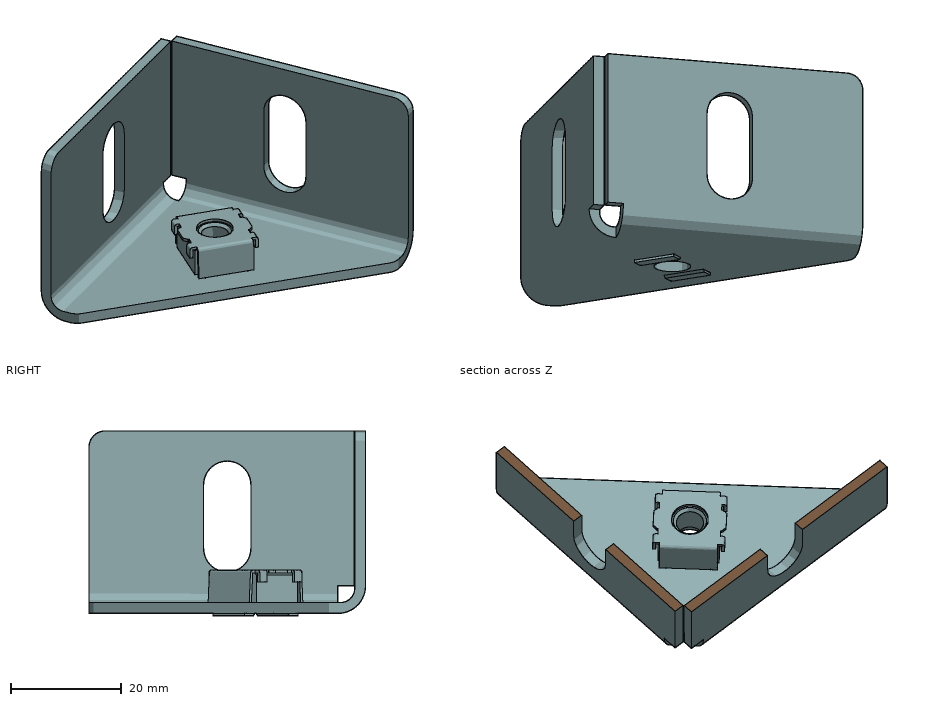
import cadquery as cq
import math

side = 50.0
wall_height = 33.0
sheet = 2.0
bend_inner_radius = 2.5
bend_outer_radius = 5.0
corner_gap = 0.1
relief = bend_outer_radius
corner_radius = 3.0
base_end = 7.0
slot_width = 8.5
slot_length = 20.0
slot_center_height = 17.5

nut_x = 19.9
nut_y = side - nut_x
nut_angle = 45.0
nut_top = 7.85
bore_radius = 2.45
countersink_radius = 3.0
opening_radius = 3.3

cage_sheet = 0.55
cage_half_length = 5.25
cage_half_top = 6.5
cage_half_foot = 6.85
cage_bend_radius = 0.65

block_half_length = 5.5
block_half_width = 5.25
block_chamfer = 0.35
block_top = nut_top - cage_sheet

roof_half_length = 5.65

tab_reach = 6.5
tab_inner = 3.5
tab_outer = 5.4
tab_bottom = 5.7
tab_bend_radius = 0.55

tongue_reach = 6.6
tongue_half_root = 2.35
tongue_half_tip = 1.55
tongue_root = 5.85

foot_half_length = 4.05
foot_thickness = 0.45
foot_tip = 4.2
foot_bevel = 0.4


def box(x_min, x_max, y_min, y_max, z_min, z_max):
    size = (x_max - x_min, y_max - y_min, z_max - z_min)
    return cq.Workplane("XY").box(*size, centered=False).translate((x_min, y_min, z_min))


def mirror_pair(shape, plane):
    return shape.union(shape.mirror(plane))


def place_nut(shape):
    return shape.rotate((0, 0, 0), (0, 0, 1), nut_angle).translate((nut_x, nut_y, 0))


def base_plate():
    outline = [
        (bend_outer_radius, 0),
        (base_end, 0),
        (side, side - base_end),
        (side, side - bend_outer_radius),
        (bend_outer_radius, side - bend_outer_radius),
    ]
    plate = cq.Workplane("XY").polyline(outline).close().extrude(sheet)
    half_sheet = sheet / 2
    near_end = cq.selectors.NearestToPointSelector((base_end, 0, half_sheet))
    far_end = cq.selectors.NearestToPointSelector((side, side - base_end, half_sheet))
    return plate.edges("|Z").edges(near_end + far_end).fillet(corner_radius)


def left_wall():
    bend_shift = math.sqrt(0.5)
    outer_mid = bend_outer_radius * (1 - bend_shift)
    inner_end = sheet + bend_inner_radius
    inner_mid = inner_end - bend_inner_radius * bend_shift
    wall = (
        cq.Workplane("XZ")
        .moveTo(0, wall_height)
        .lineTo(0, bend_outer_radius)
        .threePointArc((outer_mid, outer_mid), (bend_outer_radius, 0))
        .lineTo(bend_outer_radius, sheet)
        .lineTo(inner_end, sheet)
        .threePointArc((inner_mid, inner_mid), (sheet, inner_end))
        .lineTo(sheet, wall_height)
        .close()
        .extrude(-(side - sheet - corner_gap))
    )
    wall = wall.edges("|X and >Z and <Y").fillet(corner_radius)
    slot = (
        cq.Workplane("YZ")
        .center(side / 2, slot_center_height)
        .slot2D(slot_length, slot_width, 90)
        .extrude(sheet)
    )
    return wall.cut(slot)


def nut_openings():
    bolt_hole = cq.Workplane("XY").circle(opening_radius).extrude(sheet)
    foot_slot = box(
        -foot_half_length, foot_half_length,
        cage_half_foot - cage_sheet, cage_half_foot,
        0, sheet,
    )
    return place_nut(bolt_hole.union(mirror_pair(foot_slot, "XZ")))


def make_bracket():
    wall = left_wall()
    back_wall = wall.mirror((1, 1, 0), (side / 2, side / 2, 0))
    corner_relief = box(0, relief, side - relief, side, 0, relief)
    folded = base_plate().union(wall).union(back_wall)
    return folded.cut(corner_relief).cut(nut_openings())


def cage_shell():
    outer = [
        (-cage_half_foot, sheet),
        (-cage_half_top, nut_top),
        (cage_half_top, nut_top),
        (cage_half_foot, sheet),
    ]
    inner = [
        (-cage_half_foot + cage_sheet, sheet),
        (-cage_half_top + cage_sheet, block_top),
        (cage_half_top - cage_sheet, block_top),
        (cage_half_foot - cage_sheet, sheet),
    ]
    shell = cq.Workplane("YZ").polyline(outer).close().extrude(cage_half_length, both=True)
    shell = shell.edges("|X and >Z").fillet(cage_bend_radius)
    cavity = cq.Workplane("YZ").polyline(inner).close().extrude(cage_half_length, both=True)
    return shell.cut(cavity)


def end_tab():
    roof = box(0, tab_reach, tab_inner, tab_outer, block_top, nut_top)
    lip = box(tab_reach - cage_sheet, tab_reach, tab_inner, tab_outer, tab_bottom, nut_top)
    return roof.union(lip).edges("|Y and >X and >Z").fillet(tab_bend_radius)


def roof_strip():
    return box(
        -roof_half_length, roof_half_length,
        -tab_inner, tab_inner,
        block_top, nut_top,
    )


def roof_tongue():
    outline = [
        (0, -tongue_half_root),
        (tongue_root, -tongue_half_root),
        (tongue_reach, -tongue_half_tip),
        (tongue_reach, tongue_half_tip),
        (tongue_root, tongue_half_root),
        (0, tongue_half_root),
    ]
    return cq.Workplane("XY", origin=(0, 0, block_top)).polyline(outline).close().extrude(cage_sheet)


def threaded_block():
    block = box(
        -block_half_length, block_half_length,
        -block_half_width, block_half_width,
        sheet, block_top,
    )
    return block.faces(">Z").edges("|Y").chamfer(block_chamfer)


def hooked_foot():
    profile = [
        (cage_half_foot, sheet),
        (cage_half_foot, -foot_thickness),
        (foot_tip + foot_bevel, -foot_thickness),
        (foot_tip, 0),
        (cage_half_foot - cage_sheet, 0),
        (cage_half_foot - cage_sheet, sheet),
    ]
    return cq.Workplane("YZ").polyline(profile).close().extrude(foot_half_length, both=True)


def nut_bore():
    bore = cq.Workplane("XY").circle(bore_radius).extrude(nut_top)
    opening = cq.Workplane("XY", origin=(0, 0, block_top)).circle(opening_radius).extrude(cage_sheet)
    sink_depth = countersink_radius - bore_radius
    countersink = (
        cq.Workplane("XY", origin=(0, 0, block_top - sink_depth))
        .circle(bore_radius)
        .workplane(offset=sink_depth)
        .circle(countersink_radius)
        .loft()
    )
    return bore.union(countersink).union(opening)


def make_cage_nut():
    tabs = mirror_pair(mirror_pair(end_tab(), "XZ"), "YZ")
    tongues = mirror_pair(roof_tongue(), "YZ")
    feet = mirror_pair(hooked_foot(), "XZ")
    cage = cage_shell().union(roof_strip()).union(tabs).union(tongues).union(feet)
    nut = cage.union(threaded_block()).cut(nut_bore())
    return place_nut(nut)


bracket = make_bracket()
cage_nut = make_cage_nut()
result = cq.Compound.makeCompound([bracket.val(), cage_nut.val()])